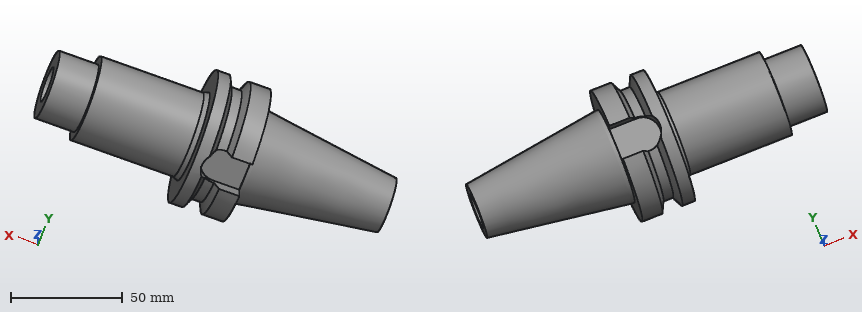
import cadquery as cq

total_length = 162.3
taper_end = 65.4
flange_start = 67.2
groove_start = 77.0
groove_floor_start = 79.4
groove_floor_end = 84.0
groove_end = 86.5
flange_end = 92.5
collar_end = 95.0
body_end = 143.8

bore_diameter = 16.2
taper_small_diameter = 25.8
taper_large_diameter = 44.5
flange_diameter = 63.0
groove_diameter = 53.2
collar_diameter = 41.9
body_diameter = 40.0
nose_diameter = 32.1

slot_width = 16.2
slot_end = 88.3
slot_floor_height = 22.7


def revolved_blank():
    """Turned outer shape, from the taper to the nose."""
    stations = [
        (0, taper_small_diameter),
        (taper_end, taper_large_diameter),
        (flange_start, taper_large_diameter),
        (flange_start, flange_diameter),
        (groove_start, flange_diameter),
        (groove_floor_start, groove_diameter),
        (groove_floor_end, groove_diameter),
        (groove_end, flange_diameter),
        (flange_end, flange_diameter),
        (flange_end, collar_diameter),
        (collar_end, body_diameter),
        (body_end, body_diameter),
        (body_end, nose_diameter),
        (total_length, nose_diameter),
    ]
    outline = [(0, 0)] + [(x, diameter / 2) for x, diameter in stations] + [(total_length, 0)]
    return cq.Workplane("XY").polyline(outline).close().revolve(360, (0, 0, 0), (1, 0, 0))


def drive_slot(side):
    """Round-ended slot cutter; side is +1 for the top and -1 for the bottom."""
    slot_radius = slot_width / 2
    arc_center = slot_end - slot_radius
    return (
        cq.Workplane("XY")
        .workplane(offset=side * slot_floor_height)
        .moveTo(flange_start, -slot_radius)
        .lineTo(arc_center, -slot_radius)
        .threePointArc((slot_end, 0), (arc_center, slot_radius))
        .lineTo(flange_start, slot_radius)
        .close()
        .extrude(side * flange_diameter / 2)
    )


def through_bore():
    return cq.Workplane("YZ").circle(bore_diameter / 2).extrude(total_length)


result = revolved_blank().cut(through_bore())
for side in (1, -1):
    result = result.cut(drive_slot(side))